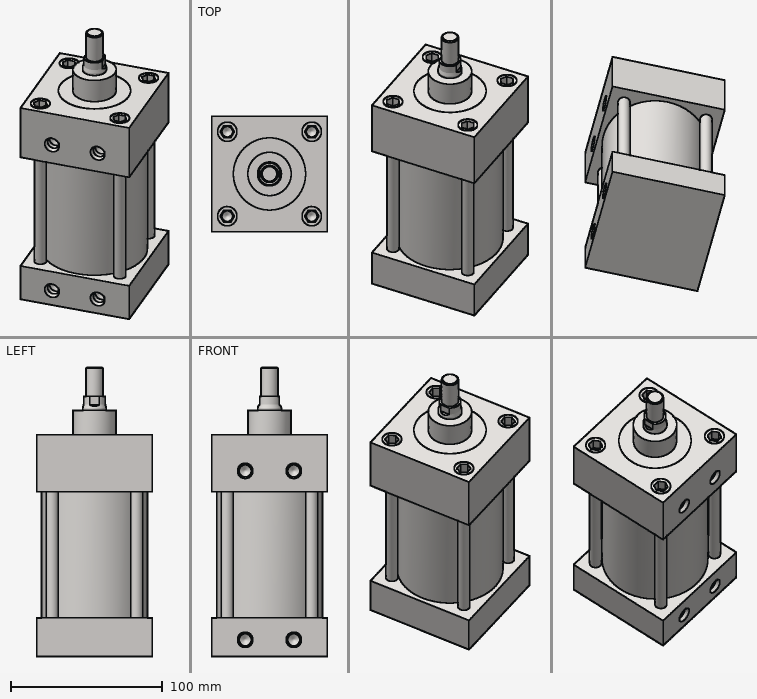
import cadquery as cq
block_side = 76.2
cap_height = 25.5
barrel_length = 82.9
head_height = 37.7
nose_height = 16.0
overall_height = 190.5

head_bottom = cap_height + barrel_length
head_top = head_bottom + head_height
nose_top = head_top + nose_height

barrel_diameter = 70.0

recess_diameter = 47.6
recess_depth = 0.2
nose_diameter = 28.5

bolt_spacing = 55.6
bolt_diameter = 8.0
bolt_head_diameter = 12.8
bolt_head_height = 11.5
bolt_head_recess = 0.4
socket_width = 8.0
socket_depth = 7.6
socket_tip_diameter = 7.0
socket_tip_depth = 2.1

port_spacing = 32.0
port_diameter = 8.0
port_mouth_diameter = 10.1
port_mouth_depth = 2.9
port_depth = 6.7
port_tip_depth = 2.5
cap_port_height = 11.0
head_port_height = head_bottom + 14.0

rod_diameter = 15.8
rod_shoulder_height = 1.5
cone_height = 2.3
neck_diameter = 14.5
thread_length = 19.0
thread_diameter = 11.2
thread_chamfer = 0.8
flat_width = 13.0

shoulder_top = nose_top + rod_shoulder_height
neck_bottom = shoulder_top + cone_height
neck_top = overall_height - thread_length

bolt_points = [
    (x * bolt_spacing / 2, y * bolt_spacing / 2)
    for x in (-1, 1)
    for y in (-1, 1)
]


def cylinder(diameter, bottom, top):
    return cq.Workplane("XY").workplane(offset=bottom).circle(diameter / 2).extrude(top - bottom)


def block(bottom, top):
    return cq.Workplane("XY").workplane(offset=bottom).rect(block_side, block_side).extrude(top - bottom)


def port_pair(height):
    """Cutter for two blind holes with tapered mouths and conical ends, bored in from the -Y face."""
    face = -block_side / 2
    radius = port_diameter / 2
    ports = cq.Workplane("XY")
    for side in (-1, 1):
        port = (
            cq.Workplane("XY")
            .moveTo(0, face)
            .lineTo(port_mouth_diameter / 2, face)
            .lineTo(radius, face + port_mouth_depth)
            .lineTo(radius, face + port_depth)
            .lineTo(0, face + port_depth + port_tip_depth)
            .close()
            .revolve(360, (0, 0, 0), (0, 1, 0))
            .translate((side * port_spacing / 2, 0, height))
        )
        ports = ports.add(port)
    return ports.combine()


def tie_bolt(x, y):
    """Bolt rising from the cap, with a hexagon socket that ends in a small cone."""
    head_face = head_top - bolt_head_recess
    socket_floor = head_face - socket_depth
    shank = cylinder(bolt_diameter, cap_height, head_face)
    head = cylinder(bolt_head_diameter, head_face - bolt_head_height, head_face)
    socket = (
        cq.Workplane("XY")
        .workplane(offset=socket_floor)
        .polygon(6, socket_width, circumscribed=True)
        .extrude(socket_depth)
        .rotate((0, 0, 0), (0, 0, 1), 30)
    )
    tip = cq.Workplane(cq.Solid.makeCone(0, socket_tip_diameter / 2, socket_tip_depth)).translate(
        (0, 0, socket_floor - socket_tip_depth)
    )
    return shank.union(head).cut(socket).cut(tip).translate((x, y, 0))


def make_rear_cap():
    """Rear cap in one piece with its four tie bolts."""
    cap = block(0, cap_height).cut(port_pair(cap_port_height))
    for x, y in bolt_points:
        cap = cap.union(tie_bolt(x, y))
    return cap


def make_barrel():
    return cylinder(barrel_diameter, cap_height, head_bottom)


def make_front_head():
    """Front head with its nose, rod bore, ports and counterbored tie bolt holes."""
    head = block(head_bottom, head_top)
    head = head.cut(cylinder(recess_diameter, head_top - recess_depth, head_top))
    head = head.union(cylinder(nose_diameter, head_bottom, nose_top))
    head = head.cut(cylinder(rod_diameter, head_bottom, nose_top))
    counterbore_floor = head_top - bolt_head_recess - bolt_head_height
    for x, y in bolt_points:
        head = head.cut(cylinder(bolt_diameter, head_bottom, head_top).translate((x, y, 0)))
        head = head.cut(cylinder(bolt_head_diameter, counterbore_floor, head_top).translate((x, y, 0)))
    return head.cut(port_pair(head_port_height))


def make_piston_rod():
    """Stepped rod with a chamfered end and two wrench flats."""
    rod = (
        cq.Workplane("XZ")
        .moveTo(0, head_bottom)
        .lineTo(rod_diameter / 2, head_bottom)
        .lineTo(rod_diameter / 2, shoulder_top)
        .lineTo(neck_diameter / 2, neck_bottom)
        .lineTo(neck_diameter / 2, neck_top)
        .lineTo(thread_diameter / 2, neck_top)
        .lineTo(thread_diameter / 2, overall_height - thread_chamfer)
        .lineTo(thread_diameter / 2 - thread_chamfer, overall_height)
        .lineTo(0, overall_height)
        .close()
        .revolve(360, (0, 0, 0), (0, 1, 0))
    )
    reach = rod_diameter / 2 - flat_width / 2
    flat = (
        cq.Workplane("XZ")
        .moveTo(flat_width / 2, neck_top)
        .lineTo(flat_width / 2, neck_bottom)
        .lineTo(flat_width / 2 + reach, neck_bottom - reach)
        .lineTo(flat_width / 2 + reach, neck_top)
        .close()
        .extrude(rod_diameter / 2, both=True)
    )
    return rod.cut(flat).cut(flat.mirror("YZ"))


rear_cap = make_rear_cap()
barrel = make_barrel()
front_head = make_front_head()
piston_rod = make_piston_rod()

result = cq.Compound.makeCompound([rear_cap.val(), barrel.val(), front_head.val(), piston_rod.val()])